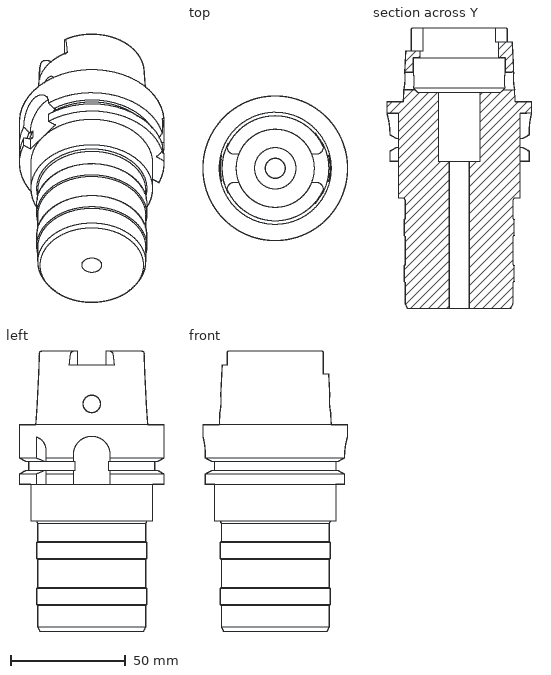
import cadquery as cq
import math

total_height = 122.0
overshoot = 1.0

shank_radius = 23.5
shank_end_chamfer_height = 2.0
shank_end_chamfer_depth = 1.0
band_radius = 24.0
band_chamfer = band_radius - shank_radius
band_height = 8.0
band_bottoms = (11.25, 31.25)
neck_cone_height = 1.0

collar_radius = 26.5
collar_bottom = 48.0
flange_radius = 31.5
flange_bottom = 64.0
flange_top = 90.0

groove_radius = 27.5
groove_mid = flange_top - 18.0
groove_mouth = 7.0
groove_floor = 3.75
flank_angle = 30.0
flank_height = (groove_mouth - groove_floor) / 2
flank_inner_radius = flange_radius - flank_height / math.tan(math.radians(flank_angle))

taper_base_radius = 24.4
taper_ratio = 0.05
taper_top_radius = taper_base_radius - taper_ratio * (total_height - flange_top)
taper_rim_fillet = 1.2

mouth_radius = 17.0
mouth_bottom = total_height - 13.0
chamber_radius = 20.0
chamber_bottom = total_height - 28.0
chamber_chamfer = 2.0
thread_bore_radius = 9.0
thread_bore_bottom = flange_bottom
through_bore_radius = 4.3

cross_hole_diameter = 7.5
cross_hole_height = 99.0

key_width = 12.3
key_land_offset = 20.9
key_mouth_radius = 3.0
key_depths = {-1: 6.0, 1: 10.0}

drive_floor_offset = collar_radius
drive_slot_top = 84.9
drive_widths = {-1: 16.0, 1: 18.0}

notch_floor_offset = 20.3
notch_wall = 19.9
notch_width = 12.0


def turned_body():
    profile = (
        cq.Workplane("XZ")
        .moveTo(0, 0)
        .lineTo(shank_radius - shank_end_chamfer_depth, 0)
        .lineTo(shank_radius, shank_end_chamfer_height)
    )
    for bottom in band_bottoms:
        top = bottom + band_height
        profile = (
            profile.lineTo(shank_radius, bottom)
            .lineTo(band_radius, bottom + band_chamfer)
            .lineTo(band_radius, top - band_chamfer)
            .lineTo(shank_radius, top)
        )
    profile = (
        profile.lineTo(shank_radius, collar_bottom - neck_cone_height)
        .lineTo(band_radius, collar_bottom)
        .lineTo(collar_radius, collar_bottom)
        .lineTo(collar_radius, flange_bottom)
        .lineTo(flange_radius, flange_bottom)
        .lineTo(flange_radius, groove_mid - groove_mouth / 2)
        .lineTo(flank_inner_radius, groove_mid - groove_floor / 2)
        .lineTo(groove_radius, groove_mid - groove_floor / 2)
        .lineTo(groove_radius, groove_mid + groove_floor / 2)
        .lineTo(flank_inner_radius, groove_mid + groove_floor / 2)
        .lineTo(flange_radius, groove_mid + groove_mouth / 2)
        .lineTo(flange_radius, flange_top)
        .lineTo(taper_base_radius, flange_top)
        .lineTo(taper_top_radius, total_height)
        .lineTo(0, total_height)
        .close()
    )
    body = profile.revolve(360, (0, 0, 0), (0, 1, 0))
    return body.faces(">Z").edges().fillet(taper_rim_fillet)


def axial_bore(radius, bottom, top):
    return cq.Workplane("XY").workplane(offset=bottom).circle(radius).extrude(top - bottom)


def chamber():
    """Undercut below the mouth bore, narrowing at its floor."""
    bore = axial_bore(chamber_radius, chamber_bottom, mouth_bottom)
    return bore.faces("<Z").chamfer(chamber_chamfer)


def cross_hole():
    return (
        cq.Workplane("YZ")
        .center(0, cross_hole_height)
        .circle(cross_hole_diameter / 2)
        .extrude(flange_radius, both=True)
    )


def key_slot(side, depth):
    """Rim slot whose outer corners flare out with a convex radius."""
    half_width = key_width / 2
    flare_start = key_land_offset - key_mouth_radius
    flare_half_width = half_width + key_mouth_radius
    outer = flange_radius
    bulge = key_mouth_radius * math.sqrt(0.5)
    return (
        cq.Workplane("XY")
        .workplane(offset=total_height - depth)
        .moveTo(0, -half_width)
        .lineTo(side * flare_start, -half_width)
        .threePointArc(
            (side * (flare_start + bulge), bulge - flare_half_width),
            (side * key_land_offset, -flare_half_width),
        )
        .lineTo(side * key_land_offset, -outer)
        .lineTo(side * outer, -outer)
        .lineTo(side * outer, outer)
        .lineTo(side * key_land_offset, outer)
        .lineTo(side * key_land_offset, flare_half_width)
        .threePointArc(
            (side * (flare_start + bulge), flare_half_width - bulge),
            (side * flare_start, half_width),
        )
        .lineTo(0, half_width)
        .close()
        .extrude(depth + overshoot)
    )


def arched_slot(side, floor_offset, center_y, width):
    """Round-topped slot cut along X into the flange, down to a flat floor."""
    radius = width / 2
    arch_center = drive_slot_top - radius
    return (
        cq.Workplane("YZ")
        .workplane(offset=side * floor_offset)
        .moveTo(center_y - radius, flange_bottom)
        .lineTo(center_y - radius, arch_center)
        .threePointArc((center_y, drive_slot_top), (center_y + radius, arch_center))
        .lineTo(center_y + radius, flange_bottom)
        .close()
        .extrude(side * (flange_radius + overshoot - floor_offset))
    )


result = turned_body()
result = result.cut(axial_bore(mouth_radius, mouth_bottom, total_height))
result = result.cut(chamber())
result = result.cut(axial_bore(thread_bore_radius, thread_bore_bottom, chamber_bottom))
result = result.cut(axial_bore(through_bore_radius, 0, thread_bore_bottom))
result = result.cut(cross_hole())
for side, depth in key_depths.items():
    result = result.cut(key_slot(side, depth))
for side, width in drive_widths.items():
    result = result.cut(arched_slot(side, drive_floor_offset, 0, width))
result = result.cut(arched_slot(-1, notch_floor_offset, notch_wall + notch_width / 2, notch_width))